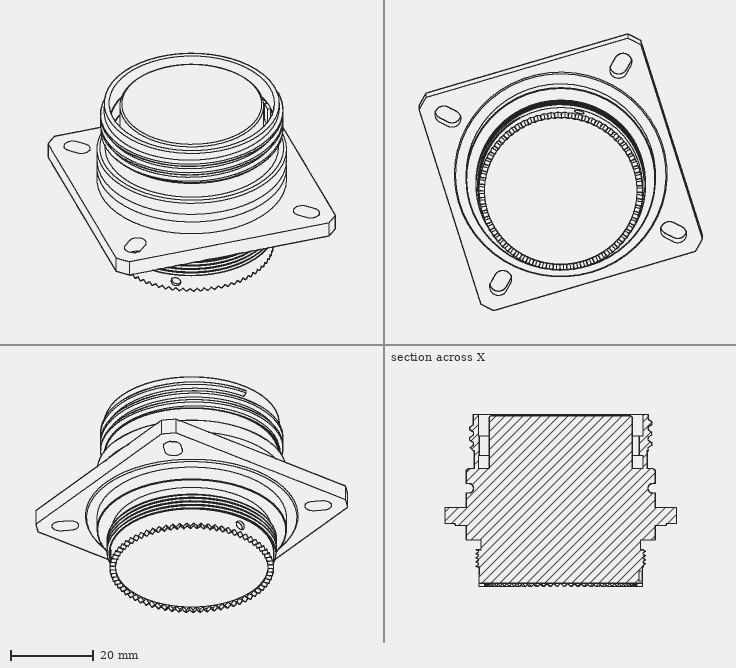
import cadquery as cq
import math

total_height = 41.9

ring_radius = 19.9
ring_height = 4.8
ring_wall = 1.35
tooth_count = 72
tooth_height = 0.8
tooth_gap_width = 1.6
pin_hole_radius = 1.2
pin_hole_depth = 0.85
pin_hole_z = 2.6
pin_hole_angles = (-150, -30, 90)

fine_root_radius = 20.1
fine_crest_radius = 20.65
fine_pitch = 1.0
fine_base = 0.75
fine_crest = 0.1
fine_top = 8.95
fine_turns = 6
fine_start_z = 3.7
fine_start_angle = 180
neck_radius = 19.45

collar_radius = 23.05
collar_bottom = 11.3
collar_top = 28.75
collar_chamfer_width = 0.7
collar_chamfer_height = 0.45
collar_bottom_chamfer = 0.15
seal_groove_z = 23.9
seal_groove_radius = 1.1
seal_groove_floor = 21.25

flange_size = 56.4
flange_bottom = 15.35
flange_top = 19.3
flange_corner_cut = 2.55
pad_radius = 25.9
pad_thickness = 0.5
pad_taper = 0.3
slot_center = 22.0
slot_radius = 2.15
slot_travel = 2.25

relief_radius = 21.1
relief_top = 33.0
barrel_radius = 21.3
coarse_crest_radius = 22.2
coarse_pitch = 2.55
coarse_base = 1.8
coarse_crest = 0.7
coarse_turns = 3.25
coarse_start_z = 31.5
coarse_start_angle = 0

socket_radius = 19.95
socket_floor = 28.75
socket_mouth_radius = 20.15
socket_mouth_depth = 0.7
land_radius = 19.8
land_bottom = 31.85
land_top = 36.65
insert_radius = 17.5
insert_top = 41.6
insert_chamfer = 0.45
key_width = 2.55
key_tip_radius = 19.1

thread_overlap = 0.15
notch_overrun = 0.3
trim_margin = 0.3


def disc(radius, bottom, top):
    """Upright cylinder about the Z axis."""
    return cq.Workplane("XY").workplane(offset=bottom).circle(radius).extrude(top - bottom)


def thread(root, crest, base_width, crest_width, pitch, start_z, start_angle, turns):
    """Right-handed helical ridge of trapezoidal section, sunk slightly into its root."""
    slope = (base_width - crest_width) / 2 / (crest - root)
    foot = root - thread_overlap
    foot_half = base_width / 2 + slope * thread_overlap
    path = cq.Wire.makeHelix(pitch, pitch * turns, foot)
    section = cq.Workplane("XZ").polyline([
        (foot, -foot_half),
        (crest, -crest_width / 2),
        (crest, crest_width / 2),
        (foot, foot_half),
    ]).close()
    ridge = section.sweep(cq.Workplane(path), isFrenet=True)
    return ridge.rotate((0, 0, 0), (0, 0, 1), start_angle).translate((0, 0, start_z))


def turned_body():
    """Revolved outside shape, solid to the axis, with a tapered pad below the flange."""
    groove_center_radius = seal_groove_floor + seal_groove_radius
    groove_low = seal_groove_z - seal_groove_radius
    groove_high = seal_groove_z + seal_groove_radius
    outline = (
        cq.Workplane("XZ")
        .moveTo(0, 0)
        .lineTo(ring_radius, 0)
        .lineTo(ring_radius, ring_height)
        .lineTo(neck_radius, ring_height)
        .lineTo(neck_radius, collar_bottom)
        .lineTo(collar_radius - collar_bottom_chamfer, collar_bottom)
        .lineTo(collar_radius, collar_bottom + collar_bottom_chamfer)
        .lineTo(collar_radius, flange_bottom - pad_thickness)
        .lineTo(pad_radius - pad_taper, flange_bottom - pad_thickness)
        .lineTo(pad_radius, flange_bottom)
        .lineTo(collar_radius, flange_bottom)
        .lineTo(collar_radius, groove_low)
        .lineTo(groove_center_radius, groove_low)
        .threePointArc((seal_groove_floor, seal_groove_z), (groove_center_radius, groove_high))
        .lineTo(collar_radius, groove_high)
        .lineTo(collar_radius, collar_top - collar_chamfer_height)
        .lineTo(collar_radius - collar_chamfer_width, collar_top)
        .lineTo(relief_radius, collar_top)
        .lineTo(relief_radius, relief_top)
        .lineTo(barrel_radius, relief_top)
        .lineTo(barrel_radius, total_height)
        .lineTo(0, total_height)
        .close()
    )
    return outline.revolve(360, (0, 0, 0), (0, 1, 0))


def flange():
    """Square plate with its corners turned off to a common circle and diagonal slots."""
    corner_radius = math.hypot(flange_size / 2, flange_size / 2 - flange_corner_cut)
    plate = (
        cq.Workplane("XY")
        .workplane(offset=flange_bottom)
        .rect(flange_size, flange_size)
        .extrude(flange_top - flange_bottom)
        .intersect(disc(corner_radius, flange_bottom, flange_top))
    )
    for side in (-1, 1):
        for end in (-1, 1):
            slot = (
                cq.Workplane("XY")
                .workplane(offset=flange_bottom)
                .center(side * slot_center, end * slot_center)
                .slot2D(slot_travel + 2 * slot_radius, 2 * slot_radius, 45 * side * end)
                .extrude(flange_top - flange_bottom)
            )
            plate = plate.cut(slot)
    return plate


def coarse_thread():
    """Coarse ridge on the barrel, run out by a conical trim at the relief below it."""
    ridge = thread(
        barrel_radius, coarse_crest_radius, coarse_base, coarse_crest,
        coarse_pitch, coarse_start_z, coarse_start_angle, coarse_turns,
    )
    zone_radius = coarse_crest_radius + trim_margin
    zone = disc(zone_radius, relief_top, total_height)
    zone = zone.faces("<Z").chamfer(zone_radius - barrel_radius)
    return ridge.intersect(zone)


def fine_thread():
    """Solid threaded length between the toothed ring and the neck, cut square at both ends."""
    ridge = thread(
        fine_root_radius, fine_crest_radius, fine_base, fine_crest,
        fine_pitch, fine_start_z, fine_start_angle, fine_turns,
    )
    core_bottom = fine_start_z - fine_pitch
    core_top = fine_start_z + (fine_turns + 1) * fine_pitch
    core = disc(fine_root_radius, core_bottom, core_top)
    zone = disc(fine_crest_radius + trim_margin, ring_height, fine_top)
    return core.union(ridge).intersect(zone)


def socket():
    """Ring-shaped space around the insert, with a narrower land and a key on its +Y side."""
    space = (
        cq.Workplane("XZ")
        .moveTo(0, socket_floor)
        .lineTo(socket_radius, socket_floor)
        .lineTo(socket_radius, land_bottom)
        .lineTo(land_radius, land_bottom)
        .lineTo(land_radius, land_top)
        .lineTo(socket_radius, land_top)
        .lineTo(socket_radius, total_height - socket_mouth_depth)
        .lineTo(socket_mouth_radius, total_height)
        .lineTo(0, total_height)
        .close()
        .revolve(360, (0, 0, 0), (0, 1, 0))
    )
    key = (
        cq.Workplane("XY")
        .workplane(offset=land_bottom)
        .center(0, socket_radius / 2)
        .rect(key_width, socket_radius)
        .extrude(land_top - land_bottom)
        .cut(disc(key_tip_radius, land_bottom, land_top))
    )
    insert = disc(insert_radius, socket_floor, insert_top).faces(">Z").chamfer(insert_chamfer)
    return space.cut(key).cut(insert)


def tooth_gaps():
    """V-shaped radial notches all around the lower rim."""
    half_width = tooth_gap_width / 2
    notch = (
        cq.Workplane("YZ")
        .workplane(offset=ring_radius - ring_wall - notch_overrun)
        .polyline([(-half_width, 0), (half_width, 0), (0, tooth_height)])
        .close()
        .extrude(ring_wall + 2 * notch_overrun)
        .val()
    )
    axis_start = cq.Vector(0, 0, 0)
    axis_end = cq.Vector(0, 0, 1)
    step = 360 / tooth_count
    return [notch.rotate(axis_start, axis_end, i * step) for i in range(tooth_count)]


def pin_holes():
    """Blind radial holes in the toothed ring."""
    hole = (
        cq.Workplane("YZ")
        .workplane(offset=ring_radius - pin_hole_depth)
        .center(0, pin_hole_z)
        .circle(pin_hole_radius)
        .extrude(2 * pin_hole_depth)
    )
    return [hole.rotate((0, 0, 0), (0, 0, 1), angle) for angle in pin_hole_angles]


result = turned_body().union(flange())
result = result.cut(socket())
result = result.cut(disc(ring_radius - ring_wall, 0, tooth_height))
result = cq.Workplane(result.val().cut(*tooth_gaps()))
for hole in pin_holes():
    result = result.cut(hole)
result = result.union(coarse_thread())
result = result.union(fine_thread())